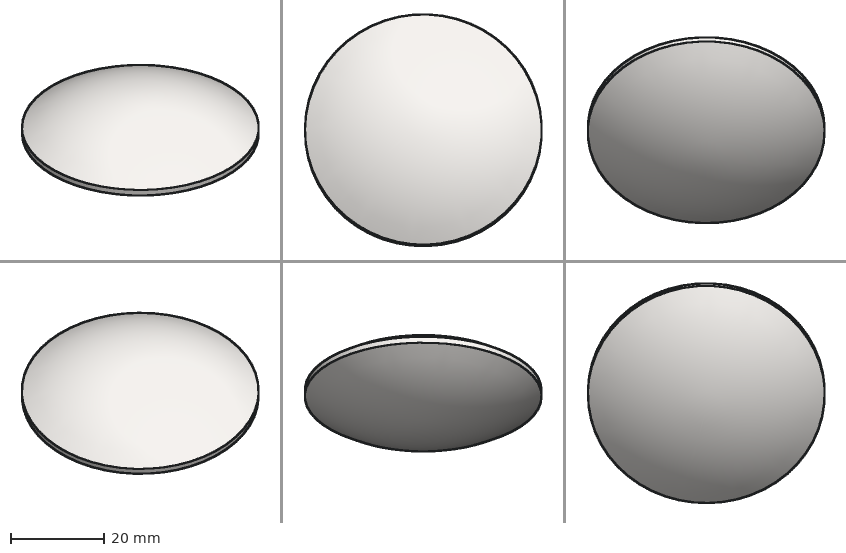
import cadquery as cq

diameter = 50.8
thickness = 17.3
edge_thickness = 1.4

radius = diameter / 2
half_thickness = thickness / 2
half_edge = edge_thickness / 2
dome_height = half_thickness - half_edge

sphere_radius = (radius**2 + dome_height**2) / (2 * dome_height)

arc_x = radius / 2
arc_z = half_thickness - sphere_radius + (sphere_radius**2 - arc_x**2) ** 0.5

half_section = (
    cq.Workplane("XZ")
    .moveTo(0, -half_thickness)
    .threePointArc((arc_x, -arc_z), (radius, -half_edge))
    .lineTo(radius, half_edge)
    .threePointArc((arc_x, arc_z), (0, half_thickness))
    .close()
)

result = half_section.revolve(360, (0, 0, 0), (0, 1, 0))